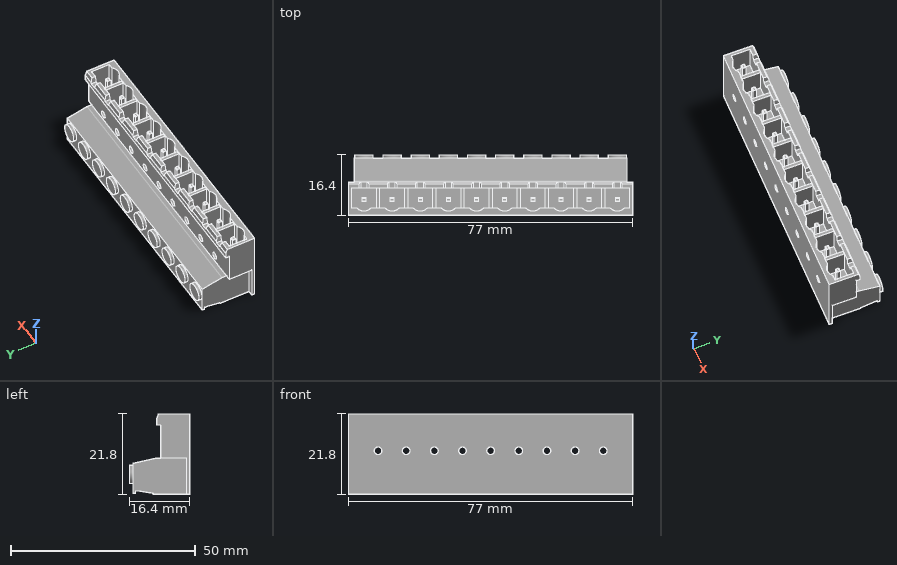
import cadquery as cq

LENGTH = 76.95
HEIGHT = 21.8
POLES = 10
PITCH = 7.6

HOUSING_DEPTH = 7.9
PLATE_DEPTH = 0.9
LIP_DEPTH = 9.0
LIP_TOP_DEPTH = 8.55
LIP_BOTTOM_Z = HEIGHT - 3.1
LIP_BEND_Z = HEIGHT - 1.3

BLOCK_LENGTH = 73.9
BLOCK_TOP_Z = 9.8
BLOCK_REAR = 15.5
BLOCK_REAR_TOP_Z = 8.4
BLOCK_SLOPE_Y = 9.3
UNDERSIDE_STEP_Y = 9.9
UNDERSIDE_STEP_Z = 0.2
FOOT_FRONT_Y = BLOCK_REAR - 0.8
FOOT_Z = 0.2
UNDERCUT_Y = FOOT_FRONT_Y - 0.9
UNDERCUT_Z = 0.85

HEAD_DIAMETER = 5.0
HEAD_Z = 5.4
HEAD_HEIGHT = 0.9

DIVIDER = 0.9
SOCKET_WIDTH = PITCH - DIVIDER
SOCKET_FRONT_Y = 2.0
SOCKET_REAR_Y = 7.5
SOCKET_FLOOR_Z = 13.1
DIVIDER_RECESS = 0.4
BULGE_WIDTH = 3.85
BULGE_DEPTH = 0.85

NOTCH_TOP_WIDTH = 2.6
NOTCH_BOTTOM_WIDTH = 1.7
NOTCH_DEPTH = 1.7

PIN_WIDTH = 1.1
PIN_Y = 4.2
PIN_TOP_Z = HEIGHT - 1.7
PIN_CHAMFER = 0.2

HOLE_DIAMETER = 2.0
HOLE_Z = 11.8

MIDDLE = LENGTH / 2
POLE_XS = [MIDDLE + (i - (POLES - 1) / 2) * PITCH for i in range(POLES)]
HOLE_XS = [x + PITCH / 2 for x in POLE_XS[:-1]]


def side_profile(points, length):
    """Extrude a closed (y, z) outline along X, centred on the middle of the part."""
    start = MIDDLE - length / 2
    return cq.Workplane("YZ", origin=(start, 0, 0)).polyline(points).close().extrude(length)


def housing():
    """Front plate, socket body and latching lip as one profile."""
    return side_profile(
        [
            (0, 0),
            (PLATE_DEPTH, 0),
            (PLATE_DEPTH, BLOCK_TOP_Z),
            (HOUSING_DEPTH, BLOCK_TOP_Z),
            (HOUSING_DEPTH, LIP_BOTTOM_Z),
            (LIP_DEPTH, LIP_BOTTOM_Z),
            (LIP_DEPTH, LIP_BEND_Z),
            (LIP_TOP_DEPTH, HEIGHT),
            (0, HEIGHT),
        ],
        LENGTH,
    )


def terminal_block():
    """Lower block with sloping top, raised underside and a small rear foot."""
    return side_profile(
        [
            (PLATE_DEPTH, 0),
            (UNDERSIDE_STEP_Y, 0),
            (UNDERSIDE_STEP_Y, UNDERSIDE_STEP_Z),
            (UNDERCUT_Y, UNDERCUT_Z),
            (FOOT_FRONT_Y, UNDERCUT_Z),
            (FOOT_FRONT_Y, FOOT_Z),
            (BLOCK_REAR, FOOT_Z),
            (BLOCK_REAR, BLOCK_REAR_TOP_Z),
            (BLOCK_SLOPE_Y, BLOCK_TOP_Z),
            (PLATE_DEPTH, BLOCK_TOP_Z),
        ],
        BLOCK_LENGTH,
    )


def screw_heads():
    """One round head per pole, standing proud of the rear face."""
    return (
        cq.Workplane("XZ", origin=(0, BLOCK_REAR, 0))
        .pushPoints([(x, HEAD_Z) for x in POLE_XS])
        .circle(HEAD_DIAMETER / 2)
        .extrude(-HEAD_HEIGHT)
    )


def socket(x):
    """Rectangular pocket whose front wall bulges outwards in an arc."""
    left = x - SOCKET_WIDTH / 2
    right = x + SOCKET_WIDTH / 2
    return (
        cq.Workplane("XY", origin=(0, 0, SOCKET_FLOOR_Z))
        .moveTo(left, SOCKET_REAR_Y)
        .lineTo(left, SOCKET_FRONT_Y)
        .lineTo(x - BULGE_WIDTH / 2, SOCKET_FRONT_Y)
        .threePointArc((x, SOCKET_FRONT_Y - BULGE_DEPTH), (x + BULGE_WIDTH / 2, SOCKET_FRONT_Y))
        .lineTo(right, SOCKET_FRONT_Y)
        .lineTo(right, SOCKET_REAR_Y)
        .close()
        .extrude(HEIGHT - SOCKET_FLOOR_Z)
    )


def divider_recess():
    """Shallow trough that drops the divider tops below the housing rim."""
    length = POLE_XS[-1] - POLE_XS[0]
    depth = SOCKET_REAR_Y - SOCKET_FRONT_Y
    corner = (POLE_XS[0], SOCKET_FRONT_Y, HEIGHT - DIVIDER_RECESS)
    trough = cq.Workplane("XY", origin=corner).rect(length, depth, centered=False)
    return trough.extrude(DIVIDER_RECESS)


def notch(x):
    """Tapered notch from the socket out through the rear wall and lip."""
    bottom = HEIGHT - NOTCH_DEPTH
    return (
        cq.Workplane("XZ", origin=(0, SOCKET_REAR_Y, 0))
        .polyline(
            [
                (x - NOTCH_TOP_WIDTH / 2, HEIGHT),
                (x - NOTCH_BOTTOM_WIDTH / 2, bottom),
                (x + NOTCH_BOTTOM_WIDTH / 2, bottom),
                (x + NOTCH_TOP_WIDTH / 2, HEIGHT),
            ]
        )
        .close()
        .extrude(SOCKET_REAR_Y - LIP_DEPTH)
    )


def pin(x):
    """Square contact pin with front and rear chamfers at its tip, rising from the socket floor."""
    return (
        cq.Workplane("XY", origin=(x, PIN_Y, SOCKET_FLOOR_Z))
        .rect(PIN_WIDTH, PIN_WIDTH)
        .extrude(PIN_TOP_Z - SOCKET_FLOOR_Z)
        .faces(">Z")
        .edges("|X")
        .chamfer(PIN_CHAMFER)
    )


def holes():
    """Round holes along Y through the socket body, one between each pair of poles."""
    return (
        cq.Workplane("XZ")
        .pushPoints([(x, HOLE_Z) for x in HOLE_XS])
        .circle(HOLE_DIAMETER / 2)
        .extrude(-HOUSING_DEPTH)
    )


result = housing().union(terminal_block()).union(screw_heads()).cut(holes()).cut(divider_recess())
for pole_x in POLE_XS:
    result = result.cut(socket(pole_x)).cut(notch(pole_x)).union(pin(pole_x))